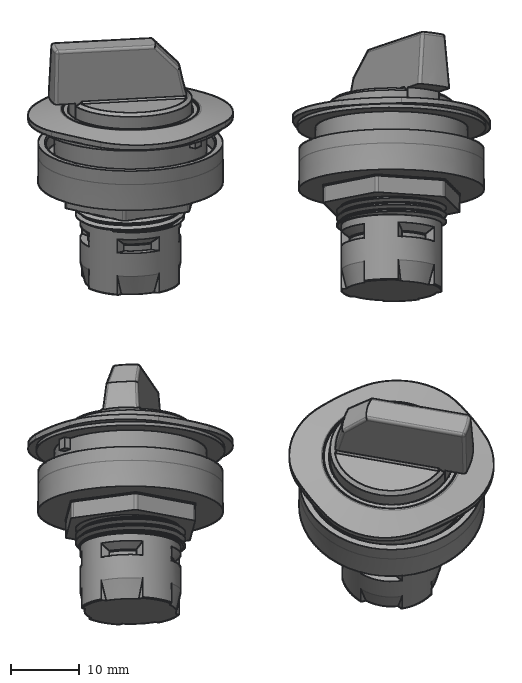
import cadquery as cq
import math

TOTAL_HEIGHT = 36.35
MARGIN = 0.35
KNOB_ANGLE = 45.0

BARREL_RADIUS = 7.35
BARREL_TOP = 9.7
BARREL_CHAMFER = 0.15
RECESS_OUTER_WIDTH = 6.18
RECESS_INNER_WIDTH = 4.05
NOTCH_HEIGHT = 3.0
NOTCH_BOTTOM_RADIUS = 6.7
WINDOW_BOTTOM = 6.5
WINDOW_BEVEL_RADIUS = 12.7 / 2
WINDOW_FLOOR_RADIUS = 6.25
WINDOW_FLOOR_TOP = 7.4
WINDOW_INNER_TOP = 7.6
WINDOW_OUTER_TOP = WINDOW_INNER_TOP + BARREL_RADIUS - WINDOW_BEVEL_RADIUS

THREAD_RADIUS = 8.0
THREAD_BASE = 0.9
THREAD_START = 8.5
THREAD_TURNS = 6
THREAD_LENGTH = 6.0
THREAD_PITCH = THREAD_LENGTH / THREAD_TURNS
THREAD_SUNK = 0.07

NUT_BOTTOM = 12.45
NUT_LIP_BOTTOM = 14.87
NUT_FLATS = 18.1
NUT_LIP_FLATS = 18.25
NUT_CORNER_RADIUS = 0.55

RING_BOTTOM = 15.1
RING_TAPER_TOP = 19.05
RING_TOP = 21.1
RING_BOTTOM_RADIUS = 13.5
RING_TOP_RADIUS = 13.45
RING_INNER_RADIUS = 12.3
RING_INNER_CHAMFER = 0.2
NECK_RADIUS = 11.1

TAB_REACH = 12.07
TAB_BOTTOM = 22.6
TAB_WIDTH = 1.45

BEZEL_WIDTH = 27.95
BEZEL_DIAGONAL = 29.95
BEZEL_SIDE_HALF = 4.45
BEZEL_SIDE_RISE = 0.25
BEZEL_BOTTOM = 24.25
BEZEL_STEP = 24.8
BEZEL_UNDERSIDE_RADIUS = 13.7
BEZEL_TOP = 26.3
BEZEL_SLOPE = 0.16
RIM_OUTER_RADIUS = 10.25
RIM_INNER_RADIUS = 10.0
LEDGE_RADIUS = 9.8
LEDGE_DROP = 0.15
BEZEL_HOLE_RADIUS = 9.13
GAP_DEPTH = 0.35

DISC_RADIUS = 8.95
DISC_TOP_RADIUS = 8.33
DISC_CHAMFER_BOTTOM = 27.92
DISC_TOP = 28.35
RAMP_HEIGHT = 0.3
PEDESTAL_WIDTH = 5.4
PEDESTAL_RADIUS = 9.0

GRIP_TOP_WIDTH = 4.07
GRIP_BACK_BOTTOM = 11.93
GRIP_BACK_TOP = 11.53
GRIP_NOSE_CENTRE = -2.18
GRIP_NOSE_BOTTOM = 8.15
GRIP_NOSE_KNEE = 7.13
GRIP_NOSE_KNEE_Z = 32.75
GRIP_NOSE_TOP = 3.6
GRIP_EDGE_RADIUS = 0.47


def revolve(profile):
    """Solid of revolution about Z from (radius, height) points."""
    return cq.Workplane("XZ").polyline(profile).close().revolve(360, (0, 0), (0, 1))


def cylinder(radius, bottom, top):
    return cq.Workplane("XY").workplane(offset=bottom).circle(radius).extrude(top - bottom)


def recess_cutter(profile):
    """Revolved recess limited to a flaring, straight-walled sector along +X."""
    outer_half = RECESS_OUTER_WIDTH / 2
    inner_half = RECESS_INNER_WIDTH / 2
    reach = BARREL_RADIUS + MARGIN
    edge_x = math.sqrt(BARREL_RADIUS**2 - outer_half**2)
    inner_x = math.sqrt(WINDOW_BEVEL_RADIUS**2 - inner_half**2)
    sector = (
        cq.Workplane("XY")
        .polyline([
            (0, -inner_half), (inner_x, -inner_half), (edge_x, -outer_half), (reach, -outer_half),
            (reach, outer_half), (edge_x, outer_half), (inner_x, inner_half), (0, inner_half),
        ])
        .close()
        .extrude(BARREL_TOP)
    )
    return revolve(profile).intersect(sector)


def make_barrel():
    barrel = cylinder(BARREL_RADIUS, 0, RING_BOTTOM).faces("<Z").chamfer(BARREL_CHAMFER)
    outside = BARREL_RADIUS + MARGIN
    window = recess_cutter([
        (WINDOW_FLOOR_RADIUS, WINDOW_BOTTOM), (outside, WINDOW_BOTTOM),
        (outside, WINDOW_OUTER_TOP), (BARREL_RADIUS, WINDOW_OUTER_TOP),
        (WINDOW_BEVEL_RADIUS, WINDOW_INNER_TOP), (WINDOW_BEVEL_RADIUS, WINDOW_FLOOR_TOP),
        (WINDOW_FLOOR_RADIUS, WINDOW_FLOOR_TOP),
    ])
    notch = recess_cutter([
        (NOTCH_BOTTOM_RADIUS, 0), (outside, 0),
        (outside, NOTCH_HEIGHT), (BARREL_RADIUS, NOTCH_HEIGHT),
    ])
    for quarter in range(4):
        angle = KNOB_ANGLE + 90 * quarter
        for cutter in (window, notch):
            barrel = barrel.cut(cutter.rotate((0, 0, 0), (0, 0, 1), angle))
    return barrel


def make_thread():
    """Right-handed triangular ridge, trimmed flush at the lower end of the thread."""
    root = BARREL_RADIUS - THREAD_SUNK
    helix = cq.Workplane(obj=cq.Wire.makeHelix(
        THREAD_PITCH, THREAD_LENGTH, BARREL_RADIUS, cq.Vector(0, 0, THREAD_START)))
    ridge = (
        cq.Workplane("XZ")
        .polyline([
            (root, THREAD_START - THREAD_BASE / 2),
            (THREAD_RADIUS, THREAD_START),
            (root, THREAD_START + THREAD_BASE / 2),
        ])
        .close()
        .sweep(helix, isFrenet=True)
    )
    return ridge.intersect(cylinder(THREAD_RADIUS + MARGIN, BARREL_TOP, NUT_LIP_BOTTOM))


def make_nut():
    def hexagon(flats, bottom, top):
        return (
            cq.Workplane("XY").workplane(offset=bottom)
            .polygon(6, flats / math.cos(math.pi / 6))
            .extrude(top - bottom)
            .edges("|Z").fillet(NUT_CORNER_RADIUS)
        )

    body = hexagon(NUT_FLATS, NUT_BOTTOM, RING_BOTTOM)
    return body.union(hexagon(NUT_LIP_FLATS, NUT_LIP_BOTTOM, RING_BOTTOM))


def make_ring_and_neck():
    body = revolve([
        (0, RING_BOTTOM), (RING_BOTTOM_RADIUS, RING_BOTTOM), (RING_TOP_RADIUS, RING_TAPER_TOP),
        (RING_TOP_RADIUS, RING_TOP),
        (RING_INNER_RADIUS + RING_INNER_CHAMFER, RING_TOP),
        (RING_INNER_RADIUS, RING_TOP - RING_INNER_CHAMFER),
        (RING_INNER_RADIUS, RING_TAPER_TOP), (NECK_RADIUS, RING_TAPER_TOP),
        (NECK_RADIUS, BEZEL_BOTTOM), (0, BEZEL_BOTTOM),
    ])
    tab = cq.Workplane("XY").box(
        TAB_REACH, TAB_WIDTH, BEZEL_BOTTOM - TAB_BOTTOM, centered=(False, True, False)
    ).translate((0, 0, TAB_BOTTOM))
    return body.union(tab)


def bezel_outline():
    """Rounded square made of four shallow side arcs and four corner arcs."""
    side = BEZEL_WIDTH / 2
    end = side - BEZEL_SIDE_RISE
    corner = BEZEL_DIAGONAL / 2 * math.sqrt(0.5)
    half = BEZEL_SIDE_HALF
    outline = cq.Workplane("XY").workplane(offset=BEZEL_BOTTOM).moveTo(end, -half)
    for quarter in range(4):
        angle = math.radians(90 * quarter)
        cos, sin = round(math.cos(angle)), round(math.sin(angle))
        turned = [
            (x * cos - y * sin, x * sin + y * cos)
            for x, y in ((side, 0), (end, half), (corner, corner), (half, end))
        ]
        outline = outline.threePointArc(turned[0], turned[1]).threePointArc(turned[2], turned[3])
    return outline.close()


def make_bezel():
    reach = BEZEL_DIAGONAL / 2 + MARGIN
    edge_z = BEZEL_TOP - BEZEL_SLOPE * (reach - RIM_OUTER_RADIUS)
    ledge_z = BEZEL_TOP - LEDGE_DROP
    dome = revolve([
        (0, BEZEL_BOTTOM), (BEZEL_UNDERSIDE_RADIUS, BEZEL_BOTTOM),
        (BEZEL_UNDERSIDE_RADIUS, BEZEL_STEP), (reach, BEZEL_STEP), (reach, edge_z),
        (RIM_OUTER_RADIUS, BEZEL_TOP), (RIM_INNER_RADIUS, BEZEL_TOP), (LEDGE_RADIUS, ledge_z),
        (BEZEL_HOLE_RADIUS, ledge_z), (BEZEL_HOLE_RADIUS, ledge_z - GAP_DEPTH),
        (0, ledge_z - GAP_DEPTH),
    ])
    return dome.intersect(bezel_outline().extrude(BEZEL_TOP - BEZEL_BOTTOM))


def make_disc():
    """Chamfered disc with a straight-sided pedestal under the grip; grip along +X."""
    base = BEZEL_TOP - LEDGE_DROP - GAP_DEPTH
    half = PEDESTAL_WIDTH / 2
    ramp_top = DISC_TOP + RAMP_HEIGHT
    chord = math.sqrt(DISC_RADIUS**2 - half**2)
    disc = revolve([
        (0, base), (DISC_RADIUS, base), (DISC_RADIUS, DISC_CHAMFER_BOTTOM),
        (DISC_TOP_RADIUS, DISC_TOP), (0, DISC_TOP),
    ])
    pedestal = (
        cq.Workplane("XY").workplane(offset=base)
        .center(-PEDESTAL_RADIUS / 2, 0)
        .rect(PEDESTAL_RADIUS, PEDESTAL_WIDTH)
        .extrude(DISC_TOP - base)
        .intersect(cylinder(PEDESTAL_RADIUS, base, DISC_TOP))
    )
    ramp_limit = revolve([
        (0, DISC_TOP), (DISC_TOP_RADIUS, DISC_TOP),
        (DISC_TOP_RADIUS - RAMP_HEIGHT, ramp_top), (0, ramp_top),
    ])
    ramps = (
        cq.Workplane("YZ").workplane(offset=-chord)
        .polyline([
            (-half - RAMP_HEIGHT, DISC_TOP), (half + RAMP_HEIGHT, DISC_TOP),
            (half, ramp_top), (-half, ramp_top),
        ])
        .close()
        .extrude(2 * chord)
        .intersect(ramp_limit)
    )
    return disc.union(pedestal).union(ramps)


def make_grip():
    """Drafted grip with a blunt back on -X and a sloping curved nose on +X."""
    bottom_half = PEDESTAL_WIDTH / 2
    top_half = GRIP_TOP_WIDTH / 2
    drafted = (
        cq.Workplane("YZ").workplane(offset=-TOTAL_HEIGHT / 2)
        .polyline([
            (-bottom_half, DISC_TOP), (bottom_half, DISC_TOP),
            (top_half, TOTAL_HEIGHT), (-top_half, TOTAL_HEIGHT),
        ])
        .close()
        .extrude(TOTAL_HEIGHT)
    )
    back = revolve([
        (0, DISC_TOP), (GRIP_BACK_BOTTOM, DISC_TOP), (GRIP_BACK_TOP, TOTAL_HEIGHT), (0, TOTAL_HEIGHT),
    ])
    nose = revolve([
        (0, DISC_TOP), (GRIP_NOSE_BOTTOM - GRIP_NOSE_CENTRE, DISC_TOP),
        (GRIP_NOSE_KNEE - GRIP_NOSE_CENTRE, GRIP_NOSE_KNEE_Z),
        (GRIP_NOSE_TOP - GRIP_NOSE_CENTRE, TOTAL_HEIGHT), (0, TOTAL_HEIGHT),
    ]).translate((GRIP_NOSE_CENTRE, 0, 0))
    behind_nose = (
        cq.Workplane("XY").workplane(offset=DISC_TOP)
        .center(-TOTAL_HEIGHT / 2, 0)
        .rect(TOTAL_HEIGHT, TOTAL_HEIGHT)
        .extrude(TOTAL_HEIGHT - DISC_TOP)
    )
    grip = drafted.intersect(back).intersect(nose.union(behind_nose))

    above_foot = cq.selectors.StringSyntaxSelector("not <Z")
    across_nose = cq.selectors.BoxSelector(
        (0, -GRIP_EDGE_RADIUS, DISC_TOP),
        (GRIP_NOSE_BOTTOM, GRIP_EDGE_RADIUS, TOTAL_HEIGHT + MARGIN),
    )
    rounded = cq.selectors.SubtractSelector(above_foot, across_nose)
    return grip.edges(rounded).fillet(GRIP_EDGE_RADIUS)


def make_knob():
    knob = make_grip().union(make_disc())
    return knob.rotate((0, 0, 0), (0, 0, 1), KNOB_ANGLE)


result = (
    make_barrel()
    .union(make_thread())
    .union(make_nut())
    .union(make_ring_and_neck())
    .union(make_bezel())
    .union(make_knob())
)